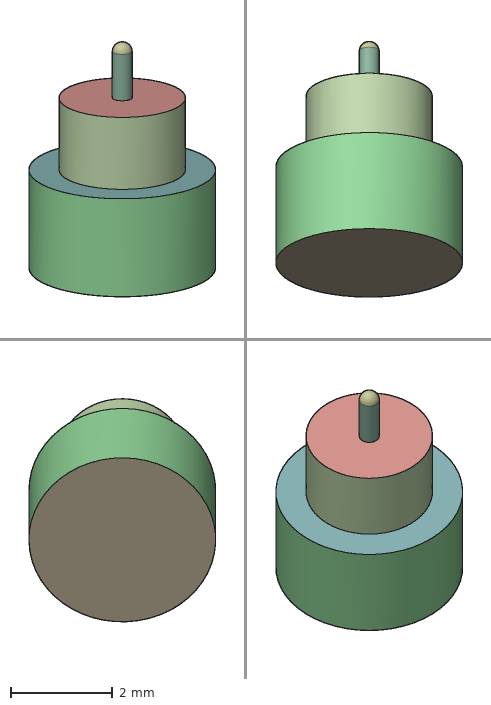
import cadquery as cq

total_height = 4.7
base_diameter = 3.7
base_height = 2.045
collar_diameter = 2.505
collar_height = 1.5

pin_diameter = 0.4
dome_height = 0.19

collar_top = base_height + collar_height
dome_start = total_height - dome_height
pin_radius = pin_diameter / 2

body = (
    cq.Workplane("XY")
    .circle(base_diameter / 2)
    .extrude(base_height)
    .faces(">Z")
    .workplane()
    .circle(collar_diameter / 2)
    .extrude(collar_height)
)

sphere_radius = (pin_radius**2 + dome_height**2) / (2 * dome_height)
pin = (
    cq.Workplane("XZ")
    .moveTo(0, collar_top)
    .lineTo(pin_radius, collar_top)
    .lineTo(pin_radius, dome_start)
    .radiusArc((0, total_height), -sphere_radius)
    .close()
    .revolve(360, (0, 0), (0, 1))
)

result = body.union(pin)